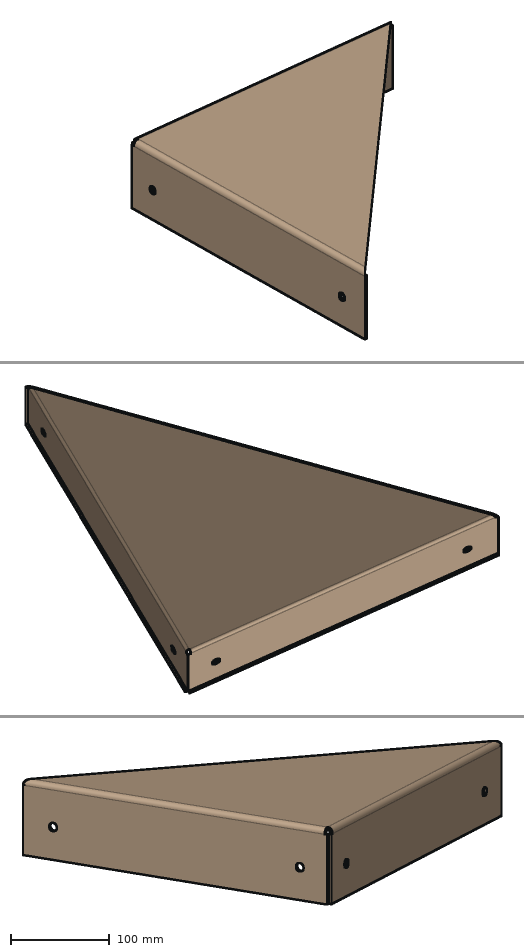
import cadquery as cq

leg = 356.0
height = 80.0
sheet = 3.0
bend_radius = 6.0
corner_gap = 0.5
hole_diameter = 9.0
hole_inset = 35.0
hole_height = 35.0

bend_bottom = height - bend_radius
flange_start = sheet + corner_gap


def top_plate():
    """Flat triangle inside the two bend lines, ending on the diagonal."""
    far = leg - bend_radius
    return (
        cq.Workplane("XY", origin=(0, 0, height - sheet))
        .polyline([(bend_radius, bend_radius), (far, bend_radius), (bend_radius, far)])
        .close()
        .extrude(sheet)
    )


def front_bend():
    """Quarter-round bend along X, trimmed by the diagonal at its far end."""
    bend_axis = (bend_radius, bend_bottom)
    ring = (
        cq.Workplane("YZ", origin=(bend_radius, 0, 0))
        .center(*bend_axis)
        .circle(bend_radius)
        .circle(bend_radius - sheet)
        .extrude(leg - bend_radius)
    )
    quarter = (
        cq.Workplane("XY", origin=(0, 0, bend_bottom))
        .polyline([
            (bend_radius, 0),
            (leg, 0),
            (leg - bend_radius, bend_radius),
            (bend_radius, bend_radius),
        ])
        .close()
        .extrude(bend_radius)
    )
    return ring.intersect(quarter)


def front_flange():
    """Square-ended vertical wall along X with two mounting holes."""
    wall = cq.Workplane("XY").box(leg - flange_start, sheet, bend_bottom, centered=False)
    wall = wall.translate((flange_start, 0, 0))
    holes = (
        cq.Workplane("XZ")
        .pushPoints([(hole_inset, hole_height), (leg - hole_inset, hole_height)])
        .circle(hole_diameter / 2)
        .extrude(-sheet)
    )
    return wall.cut(holes)


def mirror_across_diagonal(body):
    """Swap X and Y by reflecting in the plane x = y."""
    return body.mirror("YZ").rotate((0, 0, 0), (0, 0, 1), -90)


front_side = front_bend().union(front_flange())
left_side = mirror_across_diagonal(front_side)
result = top_plate().union(front_side).union(left_side)